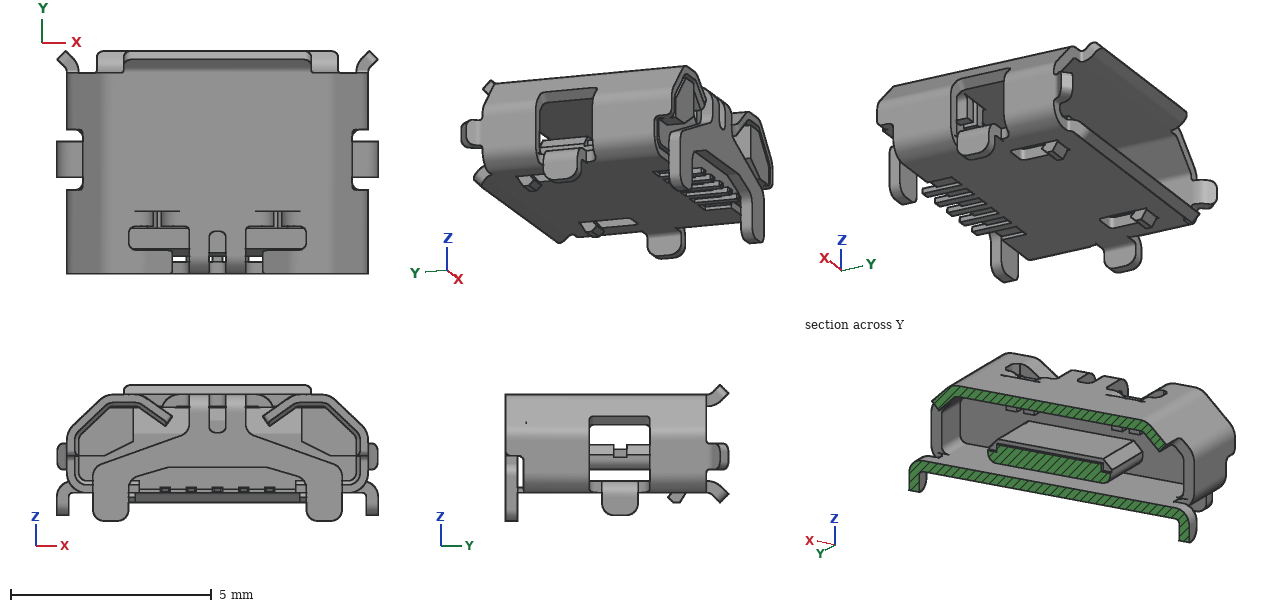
import cadquery as cq
import math

sheet = 0.30
shell_length = 5.00
shell_height = 2.45
shell_half_width = 3.75
shoulder_half_width = 2.785
shoulder_foot = 1.53
bend_radius = 0.50
rear_chamfer = 0.10

overall_length = 5.55
flap_rise = 0.24
flap_bend_radius = 0.20
flap_corner = 0.20
flap_angle = math.radians(45)
flap_root_round = 0.08
upper_flap_width = 4.66
lower_flap_width = 6.00
side_flap_bottom = 0.58
side_flap_top = 1.23

window_y = (2.09, 3.59)
window_half_width = 3.35
window_corner = 0.12
window_floor_corner = 0.20

side_leg_y = (2.40, 3.30)
side_leg_reach = 4.00
side_leg_bottom = -0.56
side_leg_bend = 0.40
side_leg_corner = 0.30

side_notch_length = 0.455
side_notch_top = 0.92
side_notch_round = 0.14

plate_bend = 0.45
plate_neck_half_width = 0.70
plate_half_width = 3.10
plate_neck_bottom = 1.50
plate_shoulder = 0.64
leg_bottom = -0.70
leg_inner = 2.21
leg_corner = 0.28
plate_round = 0.32
arch_foot = 0.35
arch_half_width = 1.22
arch_top = 0.64

slot_half_width = 0.21
slot_front = 1.06
slot_bottom = 1.50
slot_corner = 0.16

opening_x = (plate_neck_half_width, 2.05)
opening_front = 1.19
opening_relief_x = 2.21
opening_relief_rear = 0.60
opening_corner = 0.13
relief_corner = 0.19

tab_length = 0.595
tab_angle = 35.4
tab_corner = 0.10
tab_tip_x = 1.12

latch_x = (0.95, 2.05)
latch_y = (opening_front, 1.56)
latch_bend = 0.45
latch_bottom = 1.55

housing_y = (0.44, 1.14)
housing_top = 2.13
housing_bottom = 0.09
slope_bottom = 1.48
slope_front = 0.63
slope_half_width = 2.10
pedestal_half_width = 0.65
pedestal_slope_bottom = 1.80
pedestal_slope_front = 0.53

pad_rear = 0.00
pad_step_z = 1.28
pad_flat_x = 2.82
pad_bottom = 0.92

tongue_half_width = 1.75
tongue_front = 4.20
tongue_z = (0.58, 1.20)
tongue_round = 0.25
tongue_chamfer = 0.25
tongue_notch_y = (2.70, 3.02)
tongue_notch_bottom = 0.89
tongue_notch_depth = 0.25
tongue_groove_bottom = 1.09

contact_count = 5
contact_pitch = 0.65
contact_width = 0.25
contact_height = 0.14
contact_cutout_half_width = 1.95

barb_x = (2.05, 2.60)
barb_root_y = 4.75
barb_lower_bend_y = 4.49
barb_upper_bend_y = 4.38
barb_tip_y = (4.18, 4.34)
barb_nose = (4.04, -0.11)
barb_bottom = -0.24
barb_opening_y = (3.15, 4.50)
barb_opening_gap = 0.06
barb_opening_corner = 0.12
contact_end_chamfer = 0.04

through = 2 * side_leg_reach


def box(x_range, y_range, z_range):
    size = [high - low for low, high in (x_range, y_range, z_range)]
    corner = (x_range[0], y_range[0], z_range[0])
    return cq.Workplane("XY").box(*size, centered=False).translate(corner)


def along_y(sketch, y_range):
    """Extrude a wire drawn in the XZ plane between two Y positions."""
    return sketch.extrude(y_range[0] - y_range[1]).translate((0, y_range[0], 0))


def polygon_along_y(points, y_range):
    return along_y(cq.Workplane("XZ").polyline(points).close(), y_range)


def both_sides(body):
    return body.union(body.mirror("YZ"))


def shell_outline(inset):
    """Solid inside of the shell outline, moved inward by inset, full length."""
    points = [
        (-shell_half_width, 0),
        (shell_half_width, 0),
        (shell_half_width, shoulder_foot),
        (shoulder_half_width, shell_height),
        (-shoulder_half_width, shell_height),
        (-shell_half_width, shoulder_foot),
    ]
    outline = cq.Workplane("XZ").polyline(points).close()
    if inset > 0:
        outline = outline.offset2D(-inset, "intersection")
    return along_y(outline, (0, shell_length)).edges("|Y").fillet(bend_radius - inset)


def rear_chamfer_tool():
    """Tapered plug that chamfers the inner rear edge of the shell."""
    plug = shell_outline(sheet - rear_chamfer)
    plug = plug.intersect(box((-through, through), (0, 2 * rear_chamfer), (0, shell_height)))
    return plug.faces(">Y").chamfer(rear_chamfer).translate((0, -rear_chamfer, 0))


def window_cutter():
    """Side window: square to the sloping shoulder, then down through the floor."""
    slope = math.atan2(shell_height - shoulder_foot, shell_half_width - shoulder_half_width)
    top_z = shell_height - (window_half_width - shoulder_half_width) * math.tan(slope)
    inner_x = window_half_width - sheet * math.sin(slope)
    inner_z = top_z - sheet * math.cos(slope)
    points = [
        (side_leg_reach, top_z + (side_leg_reach - window_half_width) / math.tan(slope)),
        (inner_x, inner_z),
        (inner_x, sheet),
        (side_leg_reach, sheet),
    ]
    cutter = polygon_along_y(points, window_y)
    across = cq.selectors.ParallelDirSelector(cq.Vector(math.sin(slope), 0, math.cos(slope)))
    cutter = cutter.edges(across).fillet(window_corner)
    floor = box((window_half_width, side_leg_reach), window_y, (-sheet, sheet))
    return cutter.union(floor.edges("|Z and <X").fillet(window_floor_corner))


def side_notch():
    """Relief at the lower rear, with a rounded end and a rounded entry."""
    entry_z = side_notch_top + side_notch_round
    profile = (
        cq.Workplane("YZ")
        .moveTo(0, entry_z)
        .radiusArc((side_notch_round, side_notch_top), -side_notch_round)
        .lineTo(side_notch_length - side_notch_round, side_notch_top)
        .radiusArc((side_notch_length, side_notch_top - side_notch_round), side_notch_round)
        .lineTo(side_notch_length, -sheet)
        .lineTo(0, -sheet)
        .close()
    )
    return profile.extrude(through, both=True)


def top_openings():
    """Openings in the top for the folded tabs and the latch hooks."""
    z_range = (shell_height - 2 * sheet, shell_height + sheet)
    opening = box(opening_x, (-sheet, opening_front), z_range)
    relief = box((opening_x[0], opening_relief_x), (opening_relief_rear, opening_front), z_range)
    relief = relief.edges("|Z and >X").fillet(relief_corner)
    inner_corner = cq.selectors.NearestToPointSelector((opening_x[0], opening_front, shell_height))
    opening = opening.union(relief).edges("|Z").edges(inner_corner).fillet(opening_corner)
    latch = box(latch_x, latch_y, z_range)
    return both_sides(opening.union(latch))


def shell():
    body = shell_outline(0).cut(shell_outline(sheet))
    chamfer = rear_chamfer_tool()
    low_chamfer = chamfer.translate((0, side_notch_length, 0))
    low_chamfer = low_chamfer.intersect(box((-through, through), (0, shell_length), (0, side_notch_top)))
    neck = box((-plate_neck_half_width, plate_neck_half_width), (-sheet, plate_bend),
               (shell_height - sheet, shell_height + sheet))
    contact_cutout = box((-contact_cutout_half_width, contact_cutout_half_width),
                         (0, housing_y[1]), (-sheet, sheet))
    body = body.cut(side_notch()).cut(chamfer).cut(low_chamfer)
    body = body.cut(top_openings()).cut(neck).cut(contact_cutout)
    return body.cut(both_sides(window_cutter()))


def flap(origin, outward, width):
    """Strip leaving the front edge and flaring outward."""
    root_y = shell_length - sheet
    tip_inner_u = flap_rise - sheet * math.cos(flap_angle)
    tip_outer_y = overall_length - sheet * math.sin(flap_angle)
    knee_y = tip_outer_y - flap_rise / math.tan(flap_angle)
    inner_knee_y = knee_y + sheet * math.tan(flap_angle / 2)
    plane = cq.Plane(origin=origin, xDir=(0, 1, 0),
                     normal=cq.Vector(0, 1, 0).cross(cq.Vector(*outward)))
    strip = (
        cq.Workplane(plane)
        .polyline([
            (root_y, 0), (knee_y, 0), (tip_outer_y, flap_rise),
            (overall_length, tip_inner_u), (inner_knee_y, -sheet), (root_y, -sheet),
        ])
        .close()
        .extrude(width / 2, both=True)
    )
    knees = ((knee_y, 0, flap_bend_radius), (inner_knee_y, -sheet, flap_bend_radius + sheet))
    for y, u, radius in knees:
        corner = cq.selectors.NearestToPointSelector(plane.toWorldCoords((y, u)))
        strip = strip.edges(cq.selectors.ParallelDirSelector(plane.zDir)).edges(corner).fillet(radius)
    across = cq.Vector(0, math.sin(flap_angle), 0) - cq.Vector(*outward) * math.cos(flap_angle)
    return strip.edges(cq.selectors.ParallelDirSelector(across)).fillet(flap_corner)


def front_flaps():
    side_middle = (side_flap_bottom + side_flap_top) / 2
    side_width = side_flap_top - side_flap_bottom
    upper = flap((0, 0, shell_height), (0, 0, 1), upper_flap_width)
    lower = flap((0, 0, 0), (0, 0, -1), lower_flap_width)
    side = flap((shell_half_width, 0, side_middle), (1, 0, 0), side_width)
    return upper.union(lower).union(both_sides(side))


def round_flap_roots(body):
    """Round the inner corners where the flaps meet the front edge of the shell."""
    half = flap_root_round / 2
    roots = []
    for side in (-1, 1):
        roots.append((side * upper_flap_width / 2, shell_height - sheet / 2, "|Z"))
        roots.append((side * lower_flap_width / 2, sheet / 2, "|Z"))
        for z in (side_flap_bottom, side_flap_top):
            roots.append((side * (shell_half_width - sheet / 2), z, "|X"))
    for x, z, direction in roots:
        reach = cq.selectors.BoxSelector((x - half, shell_length - half, z - half),
                                         (x + half, shell_length + half, z + half))
        body = body.edges(direction).edges(reach).fillet(flap_root_round)
    return body


def side_leg():
    """Solder leg curling from the floor outward and down."""
    bend_x = side_leg_reach - side_leg_bend
    bend_z = sheet - side_leg_bend
    diagonal = math.sin(math.pi / 4)
    inner_bend = side_leg_bend - sheet
    profile = (
        cq.Workplane("XZ")
        .moveTo(shell_half_width - bend_radius, 0)
        .lineTo(shell_half_width - bend_radius, sheet)
        .lineTo(bend_x, sheet)
        .threePointArc((bend_x + side_leg_bend * diagonal, bend_z + side_leg_bend * diagonal),
                       (side_leg_reach, bend_z))
        .lineTo(side_leg_reach, side_leg_bottom)
        .lineTo(side_leg_reach - sheet, side_leg_bottom)
        .lineTo(side_leg_reach - sheet, bend_z)
        .threePointArc((bend_x + inner_bend * diagonal, bend_z + inner_bend * diagonal),
                       (bend_x, 0))
        .close()
    )
    leg = along_y(profile, side_leg_y)
    return leg.faces("<Z").edges("|X").fillet(side_leg_corner)


def rear_plate():
    """Plate folded down from the top, ending in two legs."""
    neck_top = shell_height - plate_bend
    half = [
        (0, arch_top), (arch_half_width, arch_top), (leg_inner, arch_foot),
        (leg_inner, leg_bottom), (plate_half_width, leg_bottom),
        (plate_half_width, plate_shoulder), (plate_neck_half_width, plate_neck_bottom),
        (plate_neck_half_width, neck_top), (0, neck_top),
    ]
    plate = polygon_along_y(half, (0, sheet))
    plate = plate.faces("<Z").edges("|Y").fillet(leg_corner)
    for x, z in (half[2], half[5], half[6]):
        corner = cq.selectors.NearestToPointSelector((x, sheet / 2, z))
        plate = plate.edges("|Y").edges(corner).fillet(plate_round)
    fold = (
        cq.Workplane("YZ")
        .moveTo(0, neck_top)
        .radiusArc((plate_bend, shell_height), plate_bend)
        .lineTo(plate_bend, shell_height - sheet)
        .radiusArc((sheet, neck_top), sheet - plate_bend)
        .close()
        .extrude(plate_neck_half_width)
    )
    return both_sides(plate.union(fold))


def plate_slot():
    x_range = (-slot_half_width, slot_half_width)
    over_top = box(x_range, (-sheet, slot_front), (shell_height - 2 * sheet, shell_height + sheet))
    over_top = over_top.edges("|Z and >Y").fillet(slot_corner)
    down_plate = box(x_range, (-sheet, plate_bend), (slot_bottom, shell_height + sheet))
    down_plate = down_plate.edges("|Y and <Z").fillet(slot_corner)
    return over_top.union(down_plate)


def folded_tab():
    """Tab bent inward and down from the top at the rear edge."""
    angle = math.radians(tab_angle)
    bend_x = opening_x[1]
    centre_z = shell_height - bend_radius

    def on_bend(radius, turn):
        return (bend_x - radius * math.sin(turn), centre_z + radius * math.cos(turn))

    inner_radius = bend_radius - sheet
    outer_end = on_bend(bend_radius, angle)
    reach = outer_end[0] - tab_tip_x
    tip_top = (tab_tip_x, outer_end[1] - reach * math.tan(angle))
    tip_bottom = (tip_top[0] + sheet * math.sin(angle), tip_top[1] - sheet * math.cos(angle))
    profile = (
        cq.Workplane("XZ")
        .moveTo(bend_x, shell_height)
        .threePointArc(on_bend(bend_radius, angle / 2), outer_end)
        .lineTo(*tip_top)
        .lineTo(*tip_bottom)
        .lineTo(*on_bend(inner_radius, angle))
        .threePointArc(on_bend(inner_radius, angle / 2), (bend_x, shell_height - sheet))
        .close()
    )
    tab = along_y(profile, (0, tab_length))
    underside = cq.selectors.NearestToPointSelector((tip_bottom[0] + sheet, 0, tip_bottom[1] + sheet / 2))
    tab = tab.faces("<Y").edges(underside).chamfer(rear_chamfer)
    across = cq.selectors.ParallelDirSelector(cq.Vector(math.sin(angle), 0, -math.cos(angle)))
    tip = cq.selectors.BoxSelector((0, -sheet, 0), (tip_bottom[0], shell_length, shell_height))
    return tab.edges(across).edges(tip).fillet(tab_corner)


def latch_hooks():
    """Two facing hooks bent straight down from the side edges of a latch opening."""
    bend_x = latch_x[0]
    bend_z = shell_height - latch_bend
    inner_bend = latch_bend - sheet
    profile = (
        cq.Workplane("XZ")
        .moveTo(bend_x, shell_height)
        .radiusArc((bend_x + latch_bend, bend_z), latch_bend)
        .lineTo(bend_x + latch_bend, latch_bottom)
        .lineTo(bend_x + inner_bend, latch_bottom)
        .lineTo(bend_x + inner_bend, bend_z)
        .radiusArc((bend_x, shell_height - sheet), -inner_bend)
        .close()
    )
    hook = along_y(profile, latch_y)
    middle = ((latch_x[0] + latch_x[1]) / 2, 0, 0)
    return hook.union(hook.mirror("YZ", middle))


def barb():
    """Slanted barb lanced out of the shell floor."""
    profile = [
        (barb_root_y, 0), (barb_lower_bend_y, 0), (barb_tip_y[1], barb_bottom),
        (barb_tip_y[0], barb_bottom), barb_nose, (barb_upper_bend_y, sheet), (barb_root_y, sheet),
    ]
    body = cq.Workplane("YZ").polyline(profile).close().extrude(barb_x[1] - barb_x[0])
    return body.translate((barb_x[0], 0, 0))


def barb_opening():
    x_range = (barb_x[0] - barb_opening_gap, barb_x[1] + barb_opening_gap)
    opening = box(x_range, barb_opening_y, (-sheet, 2 * sheet))
    return opening.edges("|Z and <Y").fillet(barb_opening_corner)


def housing():
    inner = shell_outline(sheet)
    lower_limit = box((-through, through), housing_y, (0, housing_top))
    body = inner.intersect(lower_limit)
    floor = box((-contact_cutout_half_width, contact_cutout_half_width), housing_y,
                (housing_bottom, 2 * sheet))
    slope = (
        cq.Workplane("YZ")
        .polyline([(housing_y[0], slope_bottom), (slope_front, housing_top), (slope_front, shell_height),
                   (0, shell_height), (0, slope_bottom)])
        .close()
        .extrude(slope_half_width, both=True)
    )
    pad_points = [
        (slope_half_width, housing_top), (slope_half_width, pad_step_z), (pad_flat_x, pad_bottom),
        (shell_half_width, pad_bottom), (shell_half_width, housing_top),
    ]
    pad = inner.intersect(polygon_along_y(pad_points, (pad_rear, housing_y[1])))
    pedestal = (
        cq.Workplane("YZ")
        .polyline([(housing_y[0], slope_bottom), (housing_y[0], pedestal_slope_bottom),
                   (pedestal_slope_front, housing_top), (housing_y[1], housing_top),
                   (housing_y[1], slope_bottom)])
        .close()
        .extrude(pedestal_half_width, both=True)
    )
    return body.union(floor).cut(slope).union(pedestal).union(both_sides(pad))


def tongue():
    body = box((-tongue_half_width, tongue_half_width), (housing_y[0] + sheet, tongue_front), tongue_z)
    body = body.edges("|Y and <Z").fillet(tongue_round)
    body = body.edges("|Y and >Z").chamfer(tongue_chamfer)
    notch = box((tongue_half_width - tongue_notch_depth, through), tongue_notch_y,
                (tongue_notch_bottom, shell_height))
    groove = box((-through, through), tongue_notch_y, (tongue_groove_bottom, shell_height))
    return body.cut(groove).cut(both_sides(notch))


def contacts():
    tails = cq.Workplane("XY")
    for index in range(contact_count):
        x = (index - (contact_count - 1) / 2) * contact_pitch
        tail = box((x - contact_width / 2, x + contact_width / 2), (0, housing_y[1]), (0, contact_height))
        tails = tails.union(tail.faces("<Y").chamfer(contact_end_chamfer))
    return tails


metal = round_flap_roots(shell().union(front_flaps()))
metal = metal.union(rear_plate()).cut(plate_slot()).cut(both_sides(barb_opening()))
for feature in (side_leg(), folded_tab(), latch_hooks(), barb()):
    metal = metal.union(both_sides(feature))

result = metal.union(housing()).union(tongue()).union(contacts())